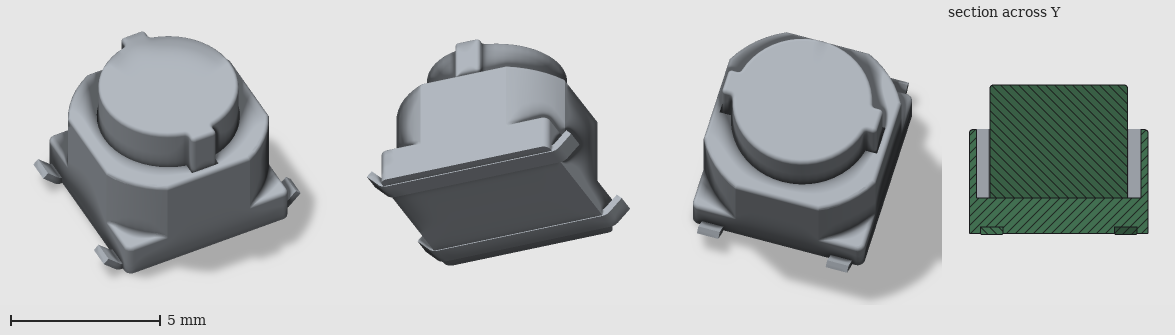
import cadquery as cq
import math

housing_width = 6.0
housing_length = 6.1
housing_height = 3.5
trim_radius = 3.375
ledge_height = 1.2
corner_radius = 0.25
ledge_fillet = 0.12
edge_radius = 0.13

button_radius = 2.35
tab_reach = 2.7
tab_width = 0.9
clearance = 0.05
button_top = 5.0
recess_floor = ledge_height

terminal_span = 7.4
terminal_width = 0.75
terminal_thickness = 0.25
terminal_spacing = 4.5
terminal_drop = 0.03
terminal_shift = -0.05
tip_rise = 0.54
bend_inner_radius = 0.15
bend_angle = math.radians(45)


def button_outline(offset, height):
    """Disc with two tabs, grown sideways by the given offset."""
    disc = cq.Workplane("XY").circle(button_radius + offset).extrude(height)
    tabs = cq.Workplane("XY").rect(2 * (tab_reach + offset), tab_width + 2 * offset).extrude(height)
    return disc.union(tabs)


def make_terminal(x_centre):
    """Strip along Y, bent up outside the housing at both ends."""
    bottom = -terminal_drop
    top = bottom + terminal_thickness
    tip_y = terminal_span / 2
    tip_z = bottom + tip_rise
    outer_bend_y = tip_y - tip_rise / math.tan(bend_angle)
    inner_bend_y = outer_bend_y - terminal_thickness * math.tan(bend_angle / 2)
    end_y = tip_y - terminal_thickness * math.sin(bend_angle)
    end_z = tip_z + terminal_thickness * math.cos(bend_angle)
    half_profile = [(outer_bend_y, bottom), (tip_y, tip_z), (end_y, end_z), (inner_bend_y, top)]
    mirrored = [(-y, z) for y, z in reversed(half_profile)]
    strip = (
        cq.Workplane("YZ")
        .polyline(half_profile + mirrored)
        .close()
        .extrude(terminal_width / 2, both=True)
    )

    for y, z, radius in (
        (outer_bend_y, bottom, bend_inner_radius + terminal_thickness),
        (inner_bend_y, top, bend_inner_radius),
    ):
        for side in (-1, 1):
            strip = strip.edges(cq.selectors.NearestToPointSelector((0, side * y, z))).fillet(radius)
    return strip.translate((x_centre, terminal_shift, 0))


def make_button():
    """Button with rounded tab corners, tab roots and top rim."""
    height = button_top - recess_floor
    body = button_outline(0, height).edges("|Z").fillet(edge_radius)
    return body.faces(">Z").edges().fillet(edge_radius).translate((0, 0, recess_floor))


def rounded_block(height):
    """Rectangular block with the housing footprint and its corner rounding."""
    block = cq.Workplane("XY").rect(housing_width, housing_length).extrude(height)
    return block.edges("|Z").fillet(corner_radius)


def make_housing(terminals):
    """Housing with corner ledges, the button recess and a groove for each strip."""
    slab = rounded_block(ledge_height).faces(">Z").edges().fillet(edge_radius)
    body = slab.union(cq.Workplane("XY").circle(trim_radius).extrude(housing_height))

    for x_side in (-1, 1):
        for y_side in (-1, 1):
            reach = trim_radius * math.sqrt(0.5)
            arc_middle = (x_side * reach, y_side * reach, ledge_height)
            body = body.edges(cq.selectors.NearestToPointSelector(arc_middle)).fillet(ledge_fillet)

    body = body.intersect(rounded_block(housing_height))
    body = body.faces(">Z").edges().fillet(edge_radius)

    recess = button_outline(clearance, housing_height - recess_floor).translate((0, 0, recess_floor))
    body = body.cut(recess)
    for terminal in terminals:
        body = body.cut(terminal)
    return body


terminals = [make_terminal(side * terminal_spacing / 2) for side in (-1, 1)]
button = make_button()
housing = make_housing(terminals)

result = cq.Compound.makeCompound(
    [body.solids().val() for body in (housing, button, *terminals)]
)